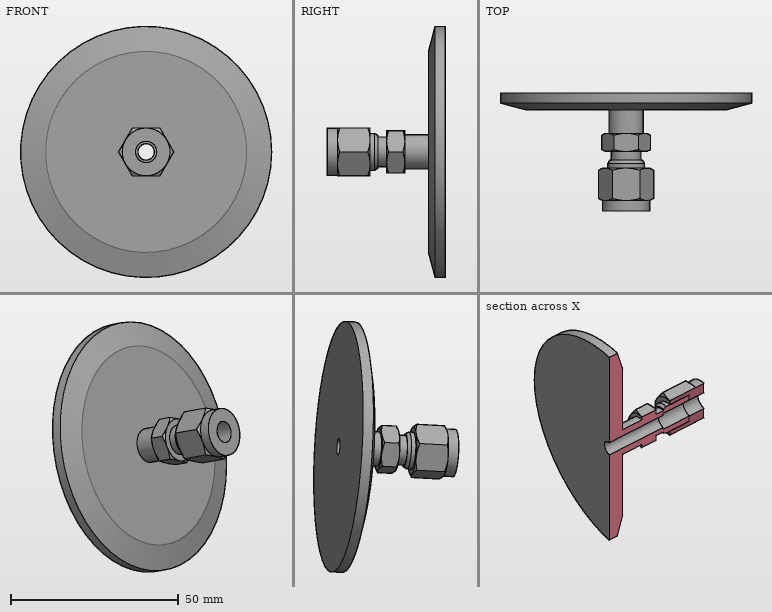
import cadquery as cq
import math


flange_diameter = 75.0
flange_face_diameter = 60.0
flange_rim_thickness = 3.1
flange_thickness = 5.1

hub_diameter = 10.29
hub_length = 7.0
body_hex_flats = 12.7
body_hex_length = 5.4
neck_diameter = 8.95
neck_length = 2.6
thread_diameter = 11.11
thread_lead_in_diameter = 9.85
thread_lead_in_length = 1.05
thread_gap = 1.3
bore_diameter = 4.83

nut_hex_flats = 14.29
nut_collar_diameter = 14.22
nut_collar_length = 3.1
nut_end_wall = 5.5
overall_length = 35.27
tube_socket_diameter = 6.35
tube_socket_depth = 15.24

hex_sides = 6
hex_chamfer_angle = 30.0

hub_end = flange_thickness + hub_length
body_hex_end = hub_end + body_hex_length
neck_end = body_hex_end + neck_length
lead_in_end = neck_end + thread_lead_in_length
nut_start = lead_in_end + thread_gap
nut_hex_end = overall_length - nut_collar_length
thread_end = overall_length - nut_end_wall
socket_bottom = overall_length - tube_socket_depth


def cylinder(diameter, start, end):
    """Round bar on the fitting axis between two stations."""
    return (
        cq.Workplane("XZ", origin=(0, -start, 0))
        .circle(diameter / 2)
        .extrude(end - start)
    )


def cone(start_diameter, end_diameter, start, end):
    """Truncated cone on the fitting axis between two stations."""
    return (
        cq.Workplane("XY")
        .moveTo(0, -start)
        .lineTo(start_diameter / 2, -start)
        .lineTo(end_diameter / 2, -end)
        .lineTo(0, -end)
        .close()
        .revolve(360, (0, 0, 0), (0, 1, 0))
    )


def chamfered_hex(across_flats, face_diameter, start, end):
    """Hexagon with corners on the X axis, its corners turned off conically at both ends."""
    across_corners = across_flats / math.cos(math.pi / hex_sides)
    chamfer_slope = math.tan(math.radians(hex_chamfer_angle))
    chamfer_length = (across_corners - face_diameter) / 2 * chamfer_slope
    prism = (
        cq.Workplane("XZ", origin=(0, -start, 0))
        .polygon(hex_sides, across_corners)
        .extrude(end - start)
    )
    turned_envelope = (
        cq.Workplane("XY")
        .moveTo(0, -start)
        .lineTo(face_diameter / 2, -start)
        .lineTo(across_corners / 2, -start - chamfer_length)
        .lineTo(across_corners / 2, -end + chamfer_length)
        .lineTo(face_diameter / 2, -end)
        .lineTo(0, -end)
        .close()
        .revolve(360, (0, 0, 0), (0, 1, 0))
    )
    return prism.intersect(turned_envelope)


def make_flange_fitting():
    """Flange plate with hub, hexagon, neck and threaded end, bored through."""
    rim = cylinder(flange_diameter, 0, flange_rim_thickness)
    bevel = cone(flange_diameter, flange_face_diameter, flange_rim_thickness, flange_thickness)
    hub = cylinder(hub_diameter, flange_thickness, hub_end)
    hexagon = chamfered_hex(body_hex_flats, body_hex_flats, hub_end, body_hex_end)
    neck = cylinder(neck_diameter, body_hex_end, neck_end)
    lead_in = cone(thread_lead_in_diameter, thread_diameter, neck_end, lead_in_end)
    thread = cylinder(thread_diameter, lead_in_end, thread_end)
    fitting = rim.union(bevel).union(hub).union(hexagon).union(neck).union(lead_in).union(thread)
    bore = cylinder(bore_diameter, 0, socket_bottom)
    tube_socket = cylinder(tube_socket_diameter, socket_bottom, thread_end)
    return fitting.cut(bore).cut(tube_socket)


def make_nut():
    """Hexagon nut with a round collar, recessed for the thread and bored for the tube."""
    hexagon = chamfered_hex(nut_hex_flats, nut_collar_diameter, nut_start, nut_hex_end)
    collar = cylinder(nut_collar_diameter, nut_hex_end, overall_length)
    thread_recess = cylinder(thread_diameter, nut_start, thread_end)
    tube_bore = cylinder(tube_socket_diameter, thread_end, overall_length)
    return hexagon.union(collar).cut(thread_recess).cut(tube_bore)


flange_fitting = make_flange_fitting()
nut = make_nut()

result = cq.Compound.makeCompound([flange_fitting.val(), nut.val()])